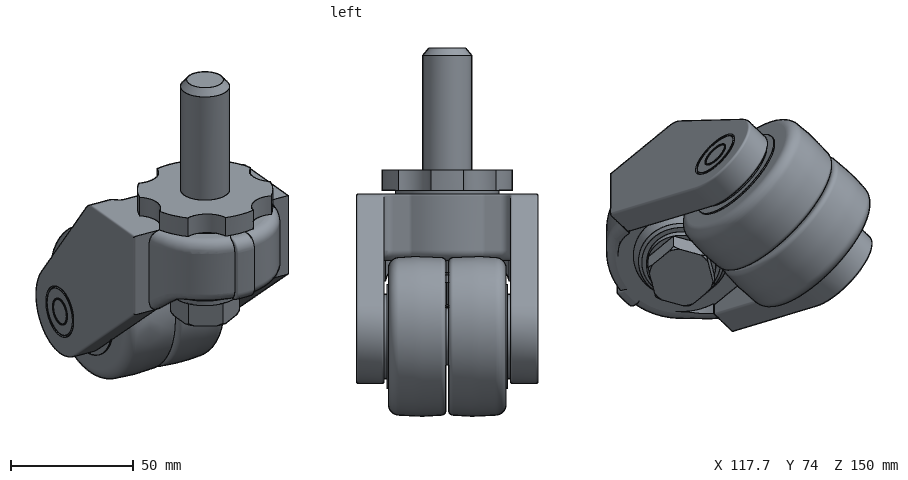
import cadquery as cq
import math


overall_height = 150
overall_length = 117.7
fork_width = 74.0

wheel_radius = 32.5
wheel_width = 48
wheel_gap = 1.0
tread_crown = 0.5
rim_radius_outer = 4.5
rim_radius_inner = 2.0
hub_radius = 11.7
shoulder_radius = 21.1
shoulder_height = 0.6
spacer_radius = 17.2

axle_radius = 10.3
axle_edge_chamfer = 0.5
axle_ring_radius = 5.4
axle_ring_width = 0.5
axle_ring_depth = 0.3

arm_thickness = 11.2
arm_inner_y = fork_width / 2 - arm_thickness
arm_end_radius = 19.2
front_slope = 51.2
rear_slope = 39
fork_top_z = 58.0
bridge_bottom_z = 30.9
bridge_front_x = 25.8
bridge_back_x = 58.3
arm_top_round = 7.5
inner_corner_round = 3.7
bulge_radius = 30.9
bulge_corner_round = 3
fork_edge_round = 0.9
slope_blend_radius = 9

stem_x = 53.0
head_radius = 30.5
head_top_round = 5.0
head_bottom_round = 3.9
key_width = 8.5
key_edge_round = 0.7
key_radius = overall_length - wheel_radius - stem_x

stem_radius = 10.0
stem_top_z = overall_height - wheel_radius
stem_chamfer_width = 2.5
stem_chamfer_height = 3
star_radius = 27.6
star_top_z = 67.8
star_bottom_z = 59.4
star_notches = 6
notch_radius = 10.0
notch_circle_radius = 33
neck_radius = 21.1
cone_top_radius = 19.5
cone_bottom_radius = 17.4
cone_bottom_z = 25.0
cone_edge_width = 1.3
cone_edge_height = 1.0
hex_corner_radius = 14.1
hex_top_z = 22.0
hex_bottom_z = 12
hex_chamfer = 1.0

pick_margin = 0.22


def cylinder_y(radius, length):
    """Cylinder on the wheel axis, centred on the mid-plane."""
    return cq.Workplane("XZ").circle(radius).extrude(length / 2, both=True)


def cylinder_z(radius, bottom, top):
    """Cylinder on the stem axis."""
    return cq.Workplane("XY", origin=(stem_x, 0, bottom)).circle(radius).extrude(top - bottom)


def make_wheel():
    """Two crowned wheels on one hub: half a profile turned about Y, then mirrored."""
    half = wheel_width / 2
    inner = wheel_gap / 2
    edge = wheel_radius - tread_crown
    tread_outer = half - rim_radius_outer
    tread_inner = inner + rim_radius_inner
    arc_middle = 1 - math.sqrt(0.5)
    outer_mid = rim_radius_outer * arc_middle
    inner_mid = rim_radius_inner * arc_middle
    wheel_half = (
        cq.Workplane("XY")
        .moveTo(axle_radius, 0)
        .lineTo(hub_radius, 0)
        .lineTo(hub_radius, inner)
        .lineTo(edge - rim_radius_inner, inner)
        .threePointArc((edge - inner_mid, inner + inner_mid), (edge, tread_inner))
        .threePointArc((wheel_radius, (tread_inner + tread_outer) / 2), (edge, tread_outer))
        .threePointArc((edge - outer_mid, half - outer_mid), (edge - rim_radius_outer, half))
        .lineTo(shoulder_radius, half)
        .lineTo(shoulder_radius, half + shoulder_height)
        .lineTo(spacer_radius, half + shoulder_height)
        .lineTo(spacer_radius, arm_inner_y)
        .lineTo(axle_radius, arm_inner_y)
        .close()
        .revolve(360, (0, 0, 0), (0, 1, 0))
    )
    return wheel_half.union(wheel_half.mirror("XZ"))


def make_axle():
    """Pin flush with both arms, with a fine ring groove in each end."""
    axle = cylinder_y(axle_radius, fork_width).edges().chamfer(axle_edge_chamfer)
    for side in (1, -1):
        groove = (
            cq.Workplane("XZ", origin=(0, side * fork_width / 2, 0))
            .circle(axle_ring_radius + axle_ring_width / 2)
            .circle(axle_ring_radius - axle_ring_width / 2)
            .extrude(side * axle_ring_depth)
        )
        axle = axle.cut(groove)
    return axle


def on_arm_end(degrees):
    """Point on the round lower end of the arm."""
    angle = math.radians(degrees)
    return (arm_end_radius * math.cos(angle), arm_end_radius * math.sin(angle))


def point_at_x(start, slope, x):
    """Point at the given X on the line that leaves start at the given slope."""
    return (x, start[1] + (x - start[0]) * math.tan(math.radians(slope)))


def point_at_z(start, slope, z):
    """Point at the given Z on the line that leaves start at the given slope."""
    return (start[0] + (z - start[1]) / math.tan(math.radians(slope)), z)


front_tangent = on_arm_end(90 + front_slope)
rear_tangent = on_arm_end(rear_slope - 90)
end_middle = on_arm_end((front_slope + rear_slope) / 2 + 180)


def make_underside_space():
    """Open space between the arms, below the bridge."""
    height = wheel_radius + bridge_bottom_z
    return (
        cq.Workplane("XY", origin=(0, 0, -wheel_radius))
        .box(4 * overall_length, 2 * arm_inner_y, height, centered=(True, True, False))
    )


def make_yoke():
    """Both arms and the bridge between them."""
    yoke = (
        cq.Workplane("XZ")
        .moveTo(*rear_tangent)
        .lineTo(*point_at_x(rear_tangent, rear_slope, bridge_back_x))
        .lineTo(bridge_back_x, fork_top_z)
        .lineTo(*point_at_z(front_tangent, front_slope, fork_top_z))
        .lineTo(*front_tangent)
        .threePointArc(end_middle, rear_tangent)
        .close()
        .extrude(fork_width / 2, both=True)
    )
    front_corner = point_at_z(front_tangent, front_slope, fork_top_z)
    top_corner = cq.selectors.NearestToPointSelector((front_corner[0], 0, front_corner[1]))
    yoke = yoke.edges("|Y").edges(top_corner).fillet(arm_top_round)

    slot = (
        cq.Workplane("XY", origin=(0, 0, -wheel_radius))
        .rect(2 * bridge_front_x, 2 * arm_inner_y)
        .extrude(wheel_radius + fork_top_z)
        .edges("|Z and >X").fillet(inner_corner_round)
    )
    yoke = yoke.cut(make_underside_space()).cut(slot)

    bulge = cylinder_z(bulge_radius, bridge_bottom_z, fork_top_z).intersect(
        cq.Workplane("XY").box(2 * bridge_back_x, 2 * arm_inner_y, 2 * fork_top_z)
    )
    yoke = yoke.union(bulge)
    bulge_half_width = math.sqrt(bulge_radius**2 - (stem_x - bridge_front_x) ** 2)
    middle_z = (bridge_bottom_z + fork_top_z) / 2
    for side in (1, -1):
        corner = cq.selectors.NearestToPointSelector((bridge_front_x, side * bulge_half_width, middle_z))
        yoke = yoke.edges("|Z").edges(corner).fillet(bulge_corner_round)
    return round_yoke_edges(yoke)


def round_yoke_edges(yoke):
    """Round the lower front rim of the bridge, the rim of the front opening and the outer arm outlines."""
    box = cq.selectors.BoxSelector
    near = pick_margin
    rim_front = stem_x - bulge_radius - pick_margin
    rim_back = bridge_front_x + near
    flat_y = arm_inner_y - inner_corner_round + near
    side_y = arm_inner_y + near

    lower_rim = box((rim_front, -flat_y, bridge_bottom_z - near), (rim_back, flat_y, bridge_bottom_z + near))
    yoke = yoke.edges(lower_rim).fillet(head_bottom_round)

    arm_front = box(
        (-arm_end_radius, -side_y, -arm_end_radius), (bridge_front_x - inner_corner_round, side_y, fork_top_z)
    )
    upper_rim = box((rim_front, -side_y, fork_top_z - 2 * near), (rim_back, side_y, fork_top_z + near))
    yoke = yoke.edges(cq.selectors.SumSelector(arm_front, upper_rim)).edges("not |Z").fillet(fork_edge_round)

    return yoke.faces("<Y or >Y").edges().fillet(fork_edge_round)


def make_head():
    """Round rear part of the fork, with a sloped underside that continues the arms."""
    start = point_at_x(rear_tangent, rear_slope, bridge_back_x)
    bend = point_at_z(rear_tangent, rear_slope, bridge_bottom_z)
    outline = (
        cq.Workplane("XZ")
        .moveTo(*start)
        .lineTo(*bend)
        .lineTo(overall_length, bridge_bottom_z)
        .lineTo(overall_length, fork_top_z)
        .lineTo(bridge_back_x, fork_top_z)
        .close()
        .extrude(fork_width / 2, both=True)
        .edges("|Y")
        .edges(cq.selectors.NearestToPointSelector((bend[0], 0, bend[1])))
        .fillet(slope_blend_radius)
    )
    head = cylinder_z(head_radius, 0, fork_top_z).faces(">Z").edges().fillet(head_top_round)
    head = head.intersect(outline)
    lower = cq.selectors.BoxSelector(
        (bridge_back_x + pick_margin, -fork_width, 0),
        (overall_length, fork_width, bridge_bottom_z + pick_margin),
    )
    return head.edges(lower).fillet(head_bottom_round).cut(cylinder_z(arm_inner_y, 0, bridge_bottom_z))


def make_key():
    """Narrow rib on the rear of the head."""
    slab = (
        cq.Workplane("XY", origin=(bridge_back_x, 0, 0))
        .box(overall_length, key_width, 4 * fork_top_z, centered=(False, True, True))
    )
    key = (
        cylinder_z(key_radius, bridge_bottom_z, fork_top_z)
        .faces(">Z").edges().fillet(head_top_round)
        .faces("<Z").edges().fillet(head_bottom_round)
        .intersect(slab)
    )
    for side in (1, -1):
        corner = (stem_x + key_radius, side * key_width / 2, (bridge_bottom_z + fork_top_z) / 2)
        key = key.edges(cq.selectors.NearestToPointSelector(corner)).fillet(key_edge_round)
    return key


def make_fork():
    """Yoke, head and key in one piece, bored for the axle and the stem."""
    fork = make_yoke().union(make_head()).union(make_key())
    fork = fork.cut(cylinder_y(axle_radius, 2 * fork_width))
    reach = axle_radius + pick_margin
    for side in (1, -1):
        mouth = cq.selectors.BoxSelector(
            (-reach, side * fork_width / 2 - pick_margin, -reach),
            (reach, side * fork_width / 2 + pick_margin, reach),
        )
        fork = fork.edges(mouth).chamfer(axle_edge_chamfer)
    return fork.cut(cylinder_z(stem_radius, 0, stem_top_z))


def make_stem():
    """Turned stem with a notched star flange, a cone under the fork and a hexagonal foot."""
    profile = (
        cq.Workplane("XZ")
        .moveTo(0, hex_bottom_z)
        .lineTo(hex_corner_radius - hex_chamfer, hex_bottom_z)
        .lineTo(hex_corner_radius, hex_bottom_z + hex_chamfer)
        .lineTo(hex_corner_radius, cone_bottom_z)
        .lineTo(cone_bottom_radius - cone_edge_width, cone_bottom_z)
        .lineTo(cone_bottom_radius, cone_bottom_z + cone_edge_height)
        .lineTo(cone_top_radius, bridge_bottom_z)
        .lineTo(stem_radius, bridge_bottom_z)
        .lineTo(stem_radius, fork_top_z)
        .lineTo(neck_radius, fork_top_z)
        .lineTo(neck_radius, star_bottom_z)
        .lineTo(star_radius, star_bottom_z)
        .lineTo(star_radius, star_top_z)
        .lineTo(stem_radius, star_top_z)
        .lineTo(stem_radius, stem_top_z - stem_chamfer_height)
        .lineTo(stem_radius - stem_chamfer_width, stem_top_z)
        .lineTo(0, stem_top_z)
        .close()
        .revolve(360, (0, 0, 0), (0, 1, 0))
    )
    hex_height = hex_top_z - hex_bottom_z
    hex_waste = (
        cq.Workplane("XY", origin=(0, 0, hex_bottom_z))
        .circle(2 * hex_corner_radius)
        .polygon(6, 2 * hex_corner_radius)
        .extrude(hex_height)
    )
    notches = (
        cq.Workplane("XY", origin=(0, 0, star_bottom_z))
        .polarArray(notch_circle_radius, 180 / star_notches, 360, star_notches)
        .circle(notch_radius)
        .extrude(star_top_z - star_bottom_z)
    )
    return profile.cut(hex_waste).cut(notches).translate((stem_x, 0, 0))


fork = make_fork()
stem = make_stem()
axle = make_axle()
wheel = make_wheel()

result = cq.Compound.makeCompound([body.solids().val() for body in (fork, stem, axle, wheel)])